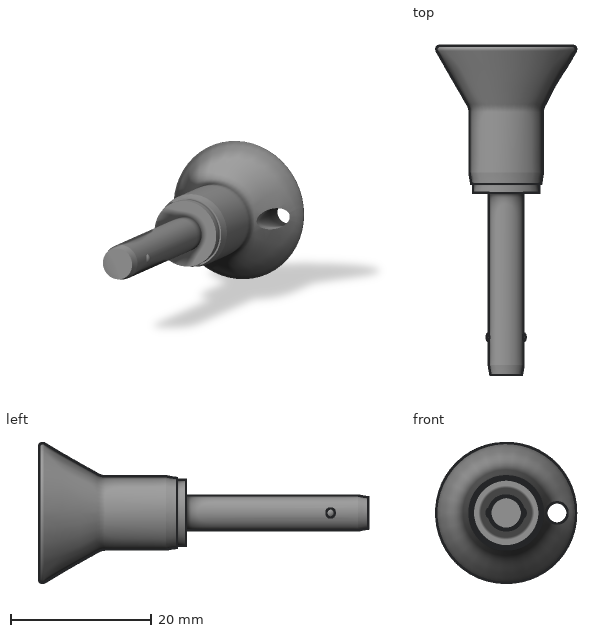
import cadquery as cq
import math


handle_length = 21.0
rim_radius = 10.0
rim_round = 0.5
cone_angle = math.radians(30.0)
body_radius = 5.25
neck_round = 2.0
taper_radius = 5.0
taper_length = 1.55
collar_radius = 4.75
collar_length = 1.3

lanyard_hole_diameter = 3.0
lanyard_hole_offset = 7.25

shank_radius = 2.5
shank_length = 26.0
tip_radius = 2.25
tip_length = 1.42

ball_radius = 0.75
ball_reach = 2.8
ball_from_tip = 5.4


def round_point(center_x, center_y, radius, angle):
    """Point on a round, at the given angle from the +X direction."""
    return (center_x + radius * math.cos(angle), center_y + radius * math.sin(angle))


def make_turned_body():
    """Revolve the half outline of handle and shank about the Y axis."""
    rim_center_x = rim_radius - rim_round
    rim_center_y = handle_length - rim_round
    rim_upper_middle = round_point(rim_center_x, rim_center_y, rim_round, math.pi / 4)
    rim_lower_middle = round_point(rim_center_x, rim_center_y, rim_round, -cone_angle / 2)
    rim_end = round_point(rim_center_x, rim_center_y, rim_round, -cone_angle)

    half_turn = math.tan(cone_angle / 2)
    rim_corner_y = rim_center_y - rim_round * half_turn
    neck_corner_y = rim_corner_y - (rim_radius - body_radius) / math.tan(cone_angle)

    neck_center_x = body_radius + neck_round
    neck_center_y = neck_corner_y - neck_round * half_turn
    neck_start = round_point(neck_center_x, neck_center_y, neck_round, math.pi - cone_angle)
    neck_middle = round_point(neck_center_x, neck_center_y, neck_round, math.pi - cone_angle / 2)

    taper_end_y = collar_length
    taper_start_y = taper_end_y + taper_length

    return (
        cq.Workplane("XY")
        .moveTo(0, handle_length)
        .lineTo(rim_center_x, handle_length)
        .threePointArc(rim_upper_middle, (rim_radius, rim_center_y))
        .threePointArc(rim_lower_middle, rim_end)
        .lineTo(*neck_start)
        .threePointArc(neck_middle, (body_radius, neck_center_y))
        .lineTo(body_radius, taper_start_y)
        .lineTo(taper_radius, taper_end_y)
        .lineTo(collar_radius, taper_end_y)
        .lineTo(collar_radius, 0)
        .lineTo(shank_radius, 0)
        .lineTo(shank_radius, tip_length - shank_length)
        .lineTo(tip_radius, -shank_length)
        .lineTo(0, -shank_length)
        .close()
        .revolve(360, (0, 0, 0), (0, 1, 0))
    )


def make_ball(side):
    """Locking ball on the +X (side = 1) or -X (side = -1) flank of the shank."""
    center_x = side * (ball_reach - ball_radius)
    center_y = ball_from_tip - shank_length
    return cq.Workplane("XY").sphere(ball_radius).translate((center_x, center_y, 0))


def make_lanyard_hole():
    """Cutter running the full handle length, clear of the body."""
    return (
        cq.Workplane("XZ")
        .center(lanyard_hole_offset, 0)
        .circle(lanyard_hole_diameter / 2)
        .extrude(-handle_length)
    )


result = make_turned_body().cut(make_lanyard_hole())
for side in (-1, 1):
    result = result.union(make_ball(side))